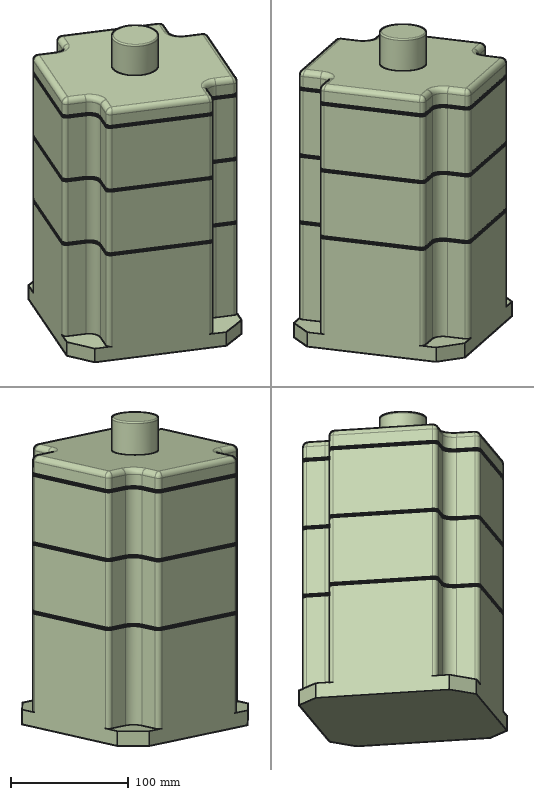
import cadquery as cq

side = 155.0
total_height = 266.0

flange_height = 13.0
flange_chamfer = 19.2

shaft_diameter = 40.0
shaft_length = 29.0
shaft_rounding = 1.3

body_top = total_height - shaft_length
notch_size = 30.0
notch_radius = 10.0
corner_radius = 4.0
top_radius = 5.0

groove_width = 2.0
groove_depth = groove_width / 2
groove_pitch = 60.0
groove_count = 3
top_groove_center = body_top - 16.8


def body_prism(bottom, top, inset=0.0):
    """Square prism with notched corners, its outline moved inward by inset."""
    height = top - bottom
    width = side - 2 * inset
    notch_width = 2 * (notch_size + inset)
    base = cq.Workplane("XY").workplane(offset=bottom)
    notches = (
        base.rect(side, side, forConstruction=True)
        .vertices()
        .rect(notch_width, notch_width)
        .extrude(height)
        .edges("|Z")
        .fillet(notch_radius + inset)
    )
    prism = base.rect(width, width).extrude(height).cut(notches)
    outer_edges = prism.faces("<X or >X or <Y or >Y").edges("|Z")
    return outer_edges.fillet(corner_radius - inset)


def make_flange():
    """Square base plate with its four corners cut off."""
    flange = cq.Workplane("XY").rect(side, side).extrude(flange_height)
    return flange.edges("|Z").chamfer(flange_chamfer)


def make_body():
    """Notched body standing on the flange, rounded along its top outline."""
    return body_prism(flange_height, body_top).faces(">Z").edges().fillet(top_radius)


def outline_wire(height, inset):
    """Body outline moved inward by inset, as a closed wire at the given height."""
    return body_prism(height, height + groove_width, inset).faces("<Z").wires().val()


def make_groove(center):
    """Ring around the body at height center that leaves a sharp ridge standing along its middle."""
    bottom = center - groove_width / 2
    top = center + groove_width / 2
    slab = cq.Workplane("XY").workplane(offset=bottom).rect(2 * side, 2 * side).extrude(groove_width)
    crest = outline_wire(center, 0)
    for rim_height in (bottom, top):
        core = cq.Solid.makeLoft([outline_wire(rim_height, groove_depth), crest], True)
        slab = slab.cut(cq.Workplane(core))
    return slab


def make_shaft():
    """Round shaft on the body top with a rounded end."""
    base = cq.Workplane("XY").workplane(offset=body_top)
    shaft = base.circle(shaft_diameter / 2).extrude(shaft_length)
    return shaft.faces(">Z").edges().fillet(shaft_rounding)


body = make_body()
for index in range(groove_count):
    body = body.cut(make_groove(top_groove_center - index * groove_pitch))

result = body.union(make_flange()).union(make_shaft())